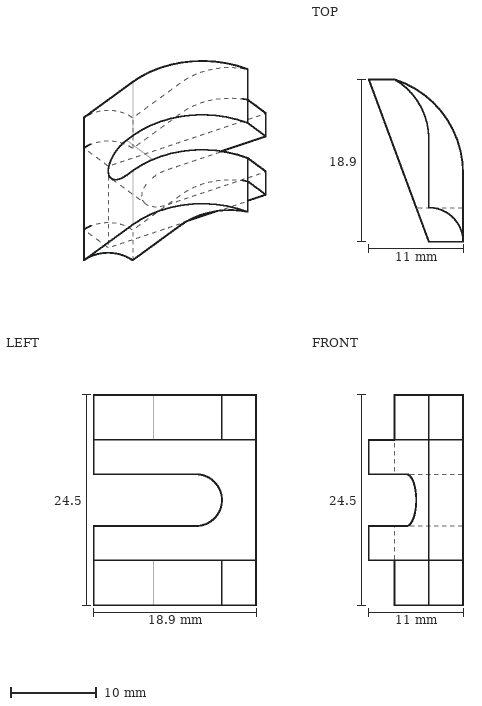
import cadquery as cq
import math

total_height = 24.5
web_height = 14.0
end_height = (total_height - web_height) / 2

front_width = 4.0
back_width = 11.0
end_tip_x = -8.0
inner_arc_radius = 8.0
inner_arc_start_y = 12.0
outer_arc_start_y = 8.0
front_relief_radius = front_width

slot_width = 6.0
slot_end_y = 4.0

inner_arc_center_x = -front_width - inner_arc_radius
depth = inner_arc_start_y + math.sqrt(inner_arc_radius**2 - (end_tip_x - inner_arc_center_x) ** 2)

outer_arc_rise = depth - outer_arc_start_y
outer_arc_radius = (end_tip_x**2 + outer_arc_rise**2) / (2 * abs(end_tip_x))


def arc_midpoint(center_x, center_y, radius, tip_y):
    """Point halfway along an arc from due +X of its center up to the height tip_y in Y."""
    half_angle = math.asin((tip_y - center_y) / radius) / 2
    return (center_x + radius * math.cos(half_angle), center_y + radius * math.sin(half_angle))


outer_arc_middle = arc_midpoint(-outer_arc_radius, outer_arc_start_y, outer_arc_radius, depth)
inner_arc_middle = arc_midpoint(inner_arc_center_x, inner_arc_start_y, inner_arc_radius, depth)


def make_web():
    """Middle plate with the sloped flat face."""
    return (
        cq.Workplane("XY", origin=(0, 0, end_height))
        .moveTo(-front_width, 0)
        .lineTo(0, 0)
        .lineTo(0, outer_arc_start_y)
        .threePointArc(outer_arc_middle, (end_tip_x, depth))
        .lineTo(-back_width, depth)
        .close()
        .extrude(web_height)
    )


def make_end_block(base_z):
    """Curved wall above or below the web, hollowed at the front by a quarter round."""
    relief_offset = front_relief_radius * math.sqrt(0.5)
    return (
        cq.Workplane("XY", origin=(0, 0, base_z))
        .moveTo(0, 0)
        .lineTo(0, outer_arc_start_y)
        .threePointArc(outer_arc_middle, (end_tip_x, depth))
        .threePointArc(inner_arc_middle, (-front_width, inner_arc_start_y))
        .lineTo(-front_width, front_relief_radius)
        .threePointArc((-front_width + relief_offset, relief_offset), (0, 0))
        .close()
        .extrude(end_height)
    )


def make_slot():
    """Cutter along X with a round closed end, running out of the back face."""
    slot_radius = slot_width / 2
    slot_center_y = slot_end_y + slot_radius
    bottom_z = total_height / 2 - slot_radius
    top_z = total_height / 2 + slot_radius
    return (
        cq.Workplane("YZ", origin=(-back_width, 0, 0))
        .moveTo(depth, bottom_z)
        .lineTo(slot_center_y, bottom_z)
        .threePointArc((slot_end_y, total_height / 2), (slot_center_y, top_z))
        .lineTo(depth, top_z)
        .close()
        .extrude(back_width)
    )


web = make_web().cut(make_slot())
lower_end = make_end_block(0)
upper_end = make_end_block(end_height + web_height)
result = web.union(lower_end).union(upper_end)